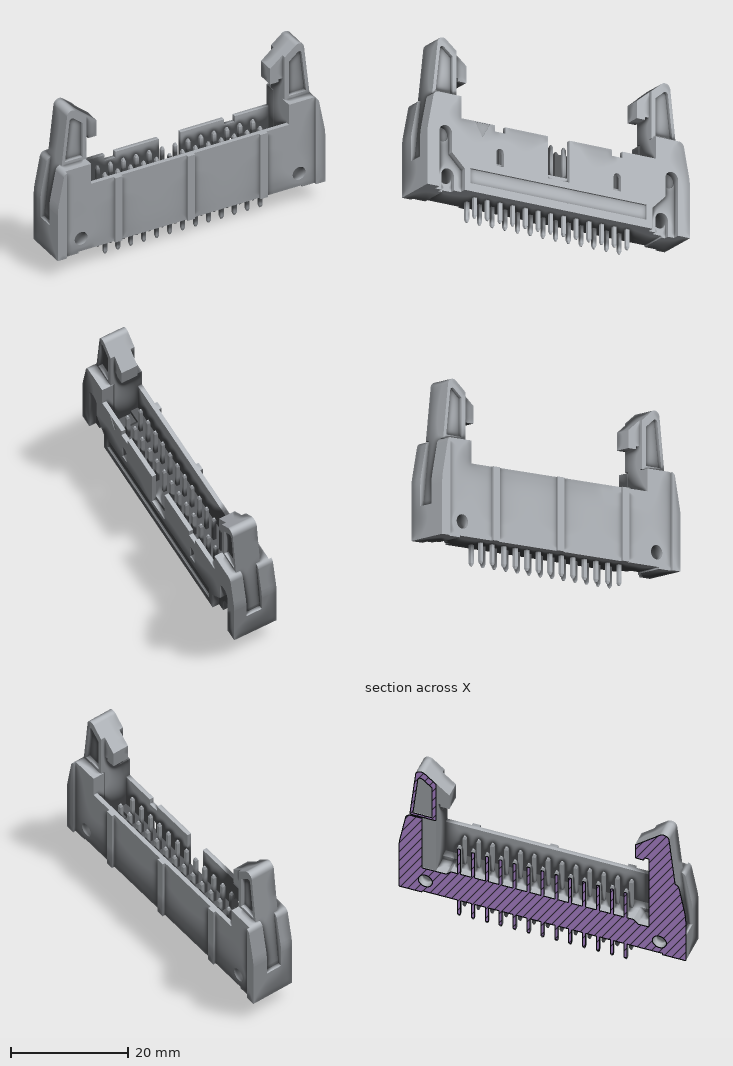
import cadquery as cq
import math


overall_length = 52.52
half_length = overall_length / 2
half_width = 3.9
wall = 0.8
wall_top = 13.16
housing_bottom = 0.3
foot_inner_y = 21.95
floor_top = 6.5

tower_inner_y = 19.42
tower_top = 17.15
tower_taper_start = 10.1
tower_taper_angle = 11.0
tower_heel_radius = 10.0
tower_top_radius = 1.0

overall_width = 8.31
rib_height = overall_width - 2 * half_width
end_rib_inner_y = 24.45
key_rib_width = 1.44
key_rib_spacing = 14.25

pin_pitch = 2.54
pins_per_row = 13
pin_size = 0.64
pin_tip_size = 0.3
pin_tip_length = 0.5
pin_bottom = -3.39
pin_top = 12.7

key_slot_width = 4.31
key_slot_bottom = 5.55
notch_width = 2.1
notch_bottom = 12.02
opening_y = 11.72
window_width = 1.46
window_bottom = 5.87
window_top = 9.04

panel_half_length = 17.6
panel_bottom = 1.74
panel_top = 4.44
panel_depth = 0.4
arrow_width = 2.98
arrow_top = 13.05
arrow_tip = 10.47
arrow_depth = 0.1

mount_hole_diameter = 2.5
mount_hole_y = 21.4
mount_hole_z = 2.82
mount_slot_depth = 2.25
recess_depth = 1.3
recess_inner_y = 18.78
recess_ramp_bottom = 4.15
recess_ramp_top = 6.63
pivot_diameter = 2.54
pivot_y = 22.6
pivot_z = 10.05
pivot_depth = 1.6

slot_inner_y = 16.73
slot_floor = 5.7
slot_step_y = 22.0
inner_slot_width = 3.36
outer_slot_width = 3.04

overall_height = 31.19
latch_top = pin_bottom + overall_height
latch_stem_width = 3.1
latch_head_width = 4.7
latch_side_play = 0.08
latch_foot_y = 25.5
latch_foot_z = 6.5
latch_back_angle = 6.4
latch_head_bottom = 17.3
latch_front_angle = 39.5
hook_y = 17.0
hook_top = 23.85
hook_bottom = 20.74
hook_step_y = 18.65
hook_step_z = 21.28
latch_recess_depth = 0.8
latch_recess_bottom = 17.9
latch_recess_back_margin = 0.6
latch_recess_inner_margin = 0.8
latch_recess_drop = 1.8
latch_recess_tip_radius = 0.5


def box(x_min, x_max, y_min, y_max, z_min, z_max):
    """Axis-aligned box between the given limits."""
    size = (x_max - x_min, y_max - y_min, z_max - z_min)
    return cq.Workplane("XY").box(*size, centered=False).translate((x_min, y_min, z_min))


def extrude_x(points, x_min, x_max):
    """Prism with a closed (Y, Z) outline between two X positions."""
    return cq.Workplane("YZ", origin=(x_min, 0, 0)).polyline(points).close().extrude(x_max - x_min)


def cylinder_x(diameter, y, z, x_min, x_max):
    """Cylinder along X."""
    plane = cq.Workplane("YZ", origin=(x_min, 0, 0)).center(y, z)
    return plane.circle(diameter / 2).extrude(x_max - x_min)


def on_both_ends(shape):
    """The shape together with its mirror image at the other end."""
    return shape.union(shape.mirror("XZ"))


def make_tower():
    """Tower of the +Y end, tapered on the outside, with a wider rib at its outer end."""
    taper_run = (tower_top - tower_taper_start) * math.tan(math.radians(tower_taper_angle))
    shoulder_y = half_length - taper_run
    outline = [
        (tower_inner_y, 0),
        (half_length, 0),
        (half_length, tower_taper_start),
        (shoulder_y, tower_top),
        (tower_inner_y, tower_top),
    ]
    tower = extrude_x(outline, -half_width, half_width + rib_height)
    middle_x = rib_height / 2
    heel = cq.selectors.NearestToPointSelector((middle_x, half_length, tower_taper_start))
    tower = tower.edges(heel).fillet(tower_heel_radius)
    shoulder = cq.selectors.NearestToPointSelector((middle_x, shoulder_y, tower_top))
    tower = tower.edges(shoulder).fillet(tower_top_radius)
    return tower.cut(
        box(half_width, half_width + rib_height, 0, end_rib_inner_y, 0, tower_top)
    )


def make_housing():
    body = box(-half_width, half_width, -tower_inner_y, tower_inner_y, housing_bottom, wall_top)
    body = body.union(on_both_ends(make_tower()))
    inside = half_width - wall
    body = body.cut(box(-inside, inside, -tower_inner_y, tower_inner_y, floor_top, wall_top))
    body = body.cut(
        box(-half_width, half_width, -foot_inner_y, foot_inner_y, 0, housing_bottom)
    )
    for y in (-key_rib_spacing, 0, key_rib_spacing):
        rib_half = key_rib_width / 2
        rib = box(inside, half_width + rib_height, y - rib_half, y + rib_half, housing_bottom, wall_top)
        body = body.union(rib)
    return body


def make_latch_slot():
    """Slot in one tower: a wide inner part and a narrower mouth at the end face."""
    ramp = floor_top - slot_floor
    outline = [
        (slot_inner_y, tower_top),
        (slot_inner_y, floor_top),
        (slot_inner_y + ramp, slot_floor),
        (slot_step_y, slot_floor),
        (slot_step_y, tower_top),
    ]
    inner = extrude_x(outline, -inner_slot_width / 2, inner_slot_width / 2)
    mouth_half = outer_slot_width / 2
    mouth = box(-mouth_half, mouth_half, slot_step_y, half_length, slot_floor, tower_top)
    return inner.union(mouth)


def make_wall_openings():
    """Key slot, two top notches and two round-topped windows through the -X wall."""
    outside = -half_width
    inside = -half_width + wall
    key_half = key_slot_width / 2
    openings = box(outside, inside, -key_half, key_half, key_slot_bottom, wall_top)
    notch_half = notch_width / 2
    notch = box(outside, inside, opening_y - notch_half, opening_y + notch_half, notch_bottom, wall_top)
    window_half = window_width / 2
    arch_z = window_top - window_half
    window = box(outside, inside, opening_y - window_half, opening_y + window_half, window_bottom, arch_z)
    arch = cylinder_x(window_width, opening_y, arch_z, outside, inside)
    return openings.union(on_both_ends(notch.union(window).union(arch)))


def make_face_marks():
    """Long sunken panel and the pin 1 arrow."""
    face = -half_width
    panel = box(face, face + panel_depth, -panel_half_length, panel_half_length, panel_bottom, panel_top)
    pin_one_y = pin_pitch * (pins_per_row - 1) / 2
    arrow = extrude_x(
        [
            (pin_one_y - arrow_width / 2, arrow_top),
            (pin_one_y + arrow_width / 2, arrow_top),
            (pin_one_y, arrow_tip),
        ],
        face,
        face + arrow_depth,
    )
    return panel.union(arrow)


def make_mount_recess():
    """Stepped recess, pivot hole and mounting hole of one end."""
    face = -half_width
    pivot_radius = pivot_diameter / 2
    outline = [
        (pivot_y + pivot_radius, 0),
        (pivot_y + pivot_radius, pivot_z),
        (pivot_y - pivot_radius, pivot_z),
        (pivot_y - pivot_radius, recess_ramp_top),
        (recess_inner_y, recess_ramp_bottom),
        (recess_inner_y, 0),
    ]
    recess = extrude_x(outline, face, face + recess_depth)
    pivot = cylinder_x(pivot_diameter, pivot_y, pivot_z, face, face + pivot_depth)
    hole_radius = mount_hole_diameter / 2
    slot = box(
        face, face + mount_slot_depth,
        mount_hole_y - hole_radius, mount_hole_y + hole_radius,
        0, mount_hole_z,
    )
    hole = cylinder_x(mount_hole_diameter, mount_hole_y, mount_hole_z, face, half_width)
    return recess.union(pivot).union(slot).union(hole)


def latch_back_y(z):
    """Y of the sloping outer face of the latch at height z."""
    return latch_foot_y - (z - latch_foot_z) * math.tan(math.radians(latch_back_angle))


def latch_front_z(y):
    """Z of the sloping front face of the latch at position y."""
    return hook_top + (y - hook_y) * math.tan(math.radians(latch_front_angle))


def latch_apex(back_margin, drop):
    """Point (Y, Z) where the back face, moved inward, meets the front face, moved down."""
    back_run = math.tan(math.radians(latch_back_angle))
    front_rise = math.tan(math.radians(latch_front_angle))
    y_above_hook_top = latch_back_y(hook_top - drop) - back_margin
    y = (y_above_hook_top + back_run * front_rise * hook_y) / (1 + back_run * front_rise)
    return y, latch_front_z(y) - drop


def latch_tip_radius():
    """Radius of the arc that touches the back face, the front face and the level latch_top."""
    back = math.radians(latch_back_angle)
    front = math.radians(latch_front_angle)
    back_reach = latch_back_y(latch_top) - hook_y
    front_gap = back_reach * math.sin(front) - (latch_top - hook_top) * math.cos(front)
    center_shift = 1 / math.cos(back) - math.tan(back)
    return front_gap / (1 + center_shift * math.sin(front) - math.cos(front))


def make_latch_recess(x_min, x_max):
    """Sunken field in one side of the latch head."""
    front_y = tower_inner_y + latch_recess_inner_margin
    apex = latch_apex(latch_recess_back_margin, latch_recess_drop)
    outline = [
        (front_y, latch_recess_bottom),
        (latch_back_y(latch_recess_bottom) - latch_recess_back_margin, latch_recess_bottom),
        apex,
        (front_y, latch_front_z(front_y) - latch_recess_drop),
    ]
    apex_edge = cq.selectors.NearestToPointSelector(((x_min + x_max) / 2, *apex))
    return extrude_x(outline, x_min, x_max).edges(apex_edge).fillet(latch_recess_tip_radius)


def make_latch():
    """Latch of the +Y end: narrow stem with hook, wide head with sunken sides."""
    apex = latch_apex(0, 0)
    stem_outline = [
        (tower_inner_y, slot_floor),
        (latch_foot_y, slot_floor),
        (latch_foot_y, latch_foot_z),
        apex,
        (hook_y, hook_top),
        (hook_y, hook_bottom),
        (hook_step_y, hook_bottom),
        (hook_step_y, hook_step_z),
        (tower_inner_y, hook_step_z),
    ]
    head_outline = [
        (tower_inner_y, latch_head_bottom),
        (latch_back_y(latch_head_bottom), latch_head_bottom),
        apex,
        (tower_inner_y, latch_front_z(tower_inner_y)),
    ]
    head_half = latch_head_width / 2
    stem_half = latch_stem_width / 2
    latch = extrude_x(head_outline, -head_half, head_half)
    latch = latch.union(extrude_x(stem_outline, -stem_half, stem_half)).clean()
    apex_edge = cq.selectors.NearestToPointSelector((0, *apex))
    latch = latch.edges(apex_edge).fillet(latch_tip_radius())
    for outer_x in (-head_half, head_half - latch_recess_depth):
        latch = latch.cut(make_latch_recess(outer_x, outer_x + latch_recess_depth))
    return latch.translate((latch_side_play, 0, 0))


def make_pin():
    """Square pin with a pyramid point at each end."""
    shaft_bottom = pin_bottom + pin_tip_length
    shaft_top = pin_top - pin_tip_length
    half = pin_size / 2
    pin = box(-half, half, -half, half, shaft_bottom, shaft_top)
    for shaft_end, tip_end in ((shaft_bottom, pin_bottom), (shaft_top, pin_top)):
        point = (
            cq.Workplane("XY", origin=(0, 0, shaft_end))
            .rect(pin_size, pin_size)
            .workplane(offset=tip_end - shaft_end)
            .rect(pin_tip_size, pin_tip_size)
            .loft()
        )
        pin = pin.union(point)
    return pin


result = make_housing()
result = result.cut(on_both_ends(make_latch_slot()))
result = result.cut(make_wall_openings())
result = result.cut(make_face_marks())
result = result.cut(on_both_ends(make_mount_recess()))

for turn in (0, 180):
    result = result.union(make_latch().rotate((0, 0, 0), (0, 0, 1), turn))

pin = make_pin()
for column in range(pins_per_row):
    pin_y = (column - (pins_per_row - 1) / 2) * pin_pitch
    for pin_x in (-pin_pitch / 2, pin_pitch / 2):
        result = result.union(pin.translate((pin_x, pin_y, 0)))